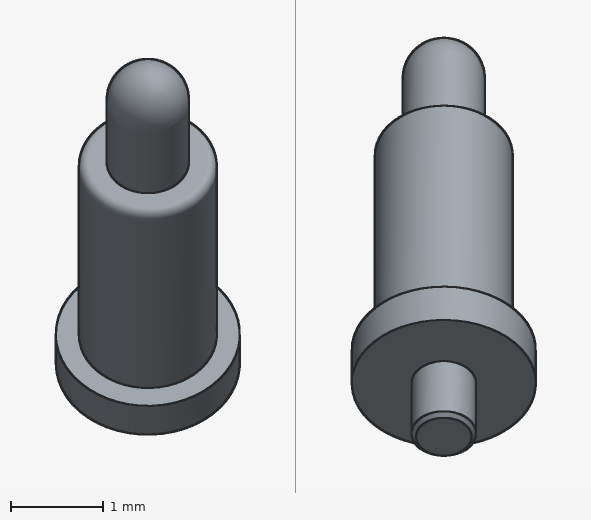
import cadquery as cq

total_height = 5.8

tail_diameter = 0.7
tail_length = 0.8
tail_chamfer = 0.05

flange_diameter = 2.0
flange_thickness = 0.5

barrel_diameter = 1.5
barrel_length = 3.0
barrel_rim_fillet = 0.1

plunger_diameter = 0.9

flange_bottom = tail_length
flange_top = flange_bottom + flange_thickness
barrel_top = flange_top + barrel_length
plunger_radius = plunger_diameter / 2
dome_base = total_height - plunger_radius


def cylinder(diameter, bottom, top):
    """Cylinder on the Z axis between two heights."""
    return cq.Workplane("XY").workplane(offset=bottom).circle(diameter / 2).extrude(top - bottom)


tail = cylinder(tail_diameter, 0, flange_bottom).faces("<Z").edges().chamfer(tail_chamfer)

flange = cylinder(flange_diameter, flange_bottom, flange_top)

barrel = cylinder(barrel_diameter, flange_top, barrel_top).faces(">Z").edges().fillet(barrel_rim_fillet)

plunger_shaft = cylinder(plunger_diameter, barrel_top, dome_base)
plunger_dome = (
    cq.Workplane("XZ")
    .moveTo(0, dome_base)
    .lineTo(plunger_radius, dome_base)
    .radiusArc((0, total_height), -plunger_radius)
    .close()
    .revolve(360, (0, 0, 0), (0, 1, 0))
)

result = tail.union(flange).union(barrel).union(plunger_shaft).union(plunger_dome)